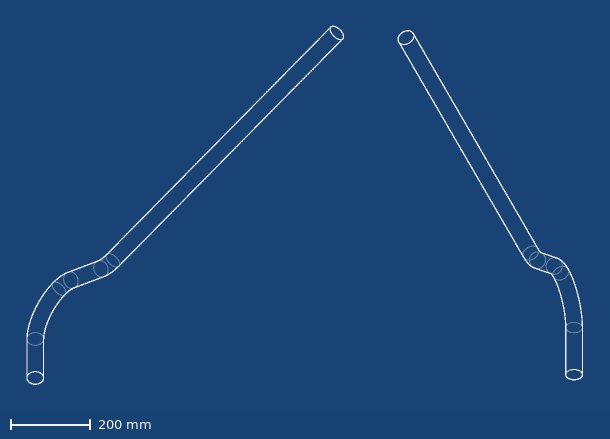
import cadquery as cq
import math

bar_diameter = 42.4
bend_radius = 100.0
rise_angle = math.radians(30.0)
run_length = 945.0
overall_height = 270.0

leg_length = overall_height - bend_radius - bar_diameter / 2

bend_rise = bend_radius * (1 - math.cos(rise_angle))
bend_advance = bend_radius * math.sin(rise_angle)
incline_rise = bend_radius - 2 * bend_rise
incline_advance = incline_rise / math.tan(rise_angle)

leg_bottom = (0.0, -leg_length)
leg_top = (0.0, 0.0)
crest = (bend_radius, bend_radius)
incline_top = (crest[0] + bend_advance, crest[1] - bend_rise)
incline_bottom = (incline_top[0] + incline_advance, incline_top[1] - incline_rise)
run_start = (incline_bottom[0] + bend_advance, 0.0)
run_end = (run_start[0] + run_length, 0.0)


def make_centreline():
    """Tangent-continuous path from the far end of the run to the leg bottom."""
    return (
        cq.Workplane("YZ")
        .moveTo(*run_end)
        .lineTo(*run_start)
        .tangentArcPoint(incline_bottom, relative=False)
        .lineTo(*incline_top)
        .tangentArcPoint(crest, relative=False)
        .tangentArcPoint(leg_top, relative=False)
        .lineTo(*leg_bottom)
    )


def make_bar():
    """Sweep the round section along the centreline."""
    run_end_y, run_end_z = run_end
    section = cq.Workplane("XZ", origin=(0.0, run_end_y, run_end_z)).circle(bar_diameter / 2)
    return section.sweep(make_centreline())


result = make_bar()